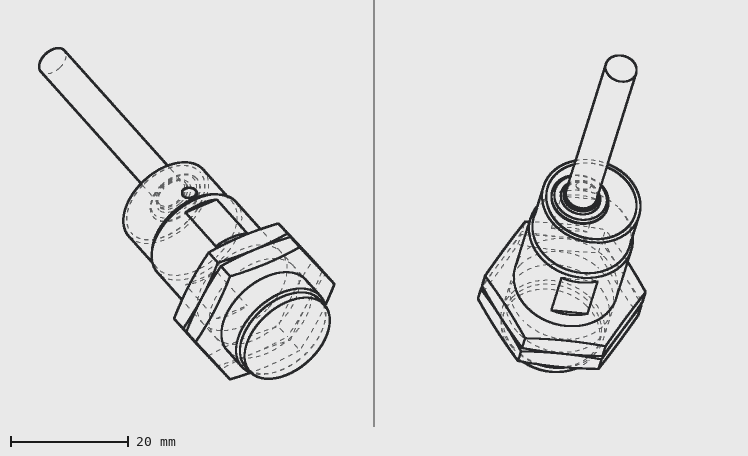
import cadquery as cq
import math

TOTAL_LENGTH = 79.5
BARREL_RADIUS = 9.0
REAR_RADIUS = 8.5
REAR_FACE_X = 40.1
COLLAR_START_X = 49.4
COLLAR_CHAMFER_LENGTH = 0.7
REAR_DISC_RADIUS = 7.8
REAR_DISC_HEIGHT = 0.1
NOSE_LENGTH = 1.5
NOSE_CHAMFER_LENGTH = 0.5

FLAT_START_X = 51.5
FLAT_LENGTH = 9.85
FLAT_HEIGHT = 8.4

WINDOW_X = 47.7
WINDOW_RADIUS = 1.3
WINDOW_HEIGHT = 8.35

CABLE_OFFSET_Y = 2.0
CABLE_RADIUS = 2.7
SLEEVE_RADIUS = 3.0
SLEEVE_BASE_RADIUS = 3.4
FLANGE_RADIUS = 4.9
FLANGE_EDGE_CHAMFER = 0.4
SLEEVE_LENGTH = 1.5
SLEEVE_STRAIGHT_LENGTH = 0.5
FLANGE_THICKNESS = 0.7

NUT_START_X = 64.8
NUT_THICKNESS = 4.0
NUT_COUNT = 2
NUT_ACROSS_FLATS = 24.0
NUT_ACROSS_CORNERS = NUT_ACROSS_FLATS / math.cos(math.radians(30))
NUT_CHAMFER_ANGLE = 15.0


def revolve_about_x(profile):
    """Revolve closed (x, radius) points about the X axis."""
    return cq.Workplane("XY").polyline(profile).close().revolve(360, (0, 0, 0), (1, 0, 0))


def make_barrel():
    """Stepped barrel with a low raised disc on its rear face."""
    disc_x = REAR_FACE_X - REAR_DISC_HEIGHT
    nose_x = TOTAL_LENGTH - NOSE_LENGTH
    return revolve_about_x([
        (disc_x, 0),
        (disc_x, REAR_DISC_RADIUS),
        (REAR_FACE_X, REAR_DISC_RADIUS),
        (REAR_FACE_X, REAR_RADIUS),
        (COLLAR_START_X, REAR_RADIUS),
        (COLLAR_START_X + COLLAR_CHAMFER_LENGTH, BARREL_RADIUS),
        (nose_x - NOSE_CHAMFER_LENGTH, BARREL_RADIUS),
        (nose_x, REAR_RADIUS),
        (TOTAL_LENGTH, REAR_RADIUS),
        (TOTAL_LENGTH, 0),
    ])


def cut_wrench_flats(body):
    for side in (1, -1):
        cutter = cq.Workplane("XY").box(FLAT_LENGTH, 2 * BARREL_RADIUS, BARREL_RADIUS,
                                        centered=(False, True, True))
        cutter_z = side * (FLAT_HEIGHT + BARREL_RADIUS / 2)
        body = body.cut(cutter.translate((FLAT_START_X, 0, cutter_z)))
    return body


def cut_indicator_window(body):
    cutter = (cq.Workplane("XY", origin=(WINDOW_X, 0, WINDOW_HEIGHT))
              .circle(WINDOW_RADIUS).extrude(REAR_RADIUS - WINDOW_HEIGHT))
    return body.cut(cutter)


def make_cable():
    """Cable, sleeve and flange, ending on the rear face."""
    sleeve_x = REAR_FACE_X - SLEEVE_LENGTH
    flange_x = REAR_FACE_X - FLANGE_THICKNESS
    cable = revolve_about_x([
        (0, 0),
        (0, CABLE_RADIUS),
        (sleeve_x, CABLE_RADIUS),
        (sleeve_x, SLEEVE_RADIUS),
        (sleeve_x + SLEEVE_STRAIGHT_LENGTH, SLEEVE_RADIUS),
        (flange_x, SLEEVE_BASE_RADIUS),
        (flange_x, FLANGE_RADIUS - FLANGE_EDGE_CHAMFER),
        (flange_x + FLANGE_EDGE_CHAMFER, FLANGE_RADIUS),
        (REAR_FACE_X, FLANGE_RADIUS),
        (REAR_FACE_X, 0),
    ])
    return cable.translate((0, CABLE_OFFSET_Y, 0))


def make_sensor():
    body = cut_wrench_flats(make_barrel())
    body = cut_indicator_window(body)
    return body.union(make_cable())


def make_nut(start_x):
    """Hexagon nut with both faces chamfered at the corners and corners pointing along Y."""
    hexagon = (cq.Workplane("YZ", origin=(start_x, 0, 0))
               .polygon(6, NUT_ACROSS_CORNERS).circle(BARREL_RADIUS).extrude(NUT_THICKNESS))
    face_radius = NUT_ACROSS_FLATS / 2
    corner_radius = NUT_ACROSS_CORNERS / 2
    chamfer_length = (corner_radius - face_radius) * math.tan(math.radians(NUT_CHAMFER_ANGLE))
    end_x = start_x + NUT_THICKNESS
    envelope = revolve_about_x([
        (start_x, 0),
        (start_x, face_radius),
        (start_x + chamfer_length, corner_radius),
        (end_x - chamfer_length, corner_radius),
        (end_x, face_radius),
        (end_x, 0),
    ])
    return hexagon.intersect(envelope)


sensor = make_sensor()
nuts = [make_nut(NUT_START_X + index * NUT_THICKNESS) for index in range(NUT_COUNT)]

result = cq.Compound.makeCompound([sensor.val(), *[nut.val() for nut in nuts]])